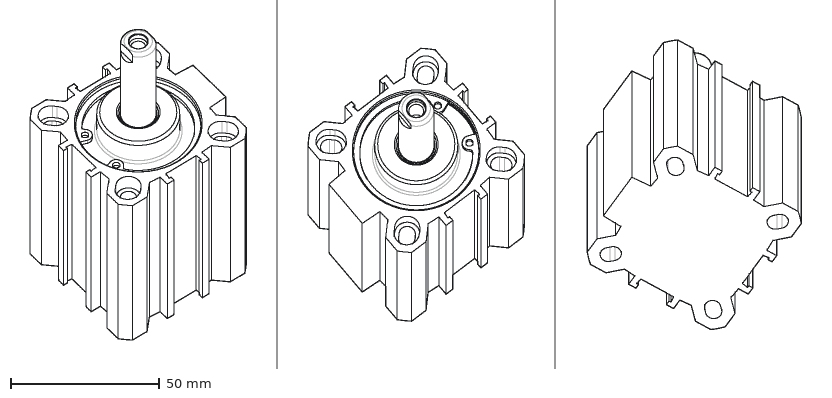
import cadquery as cq
import math

HOUSING_HEIGHT = 69.5
COVER_HEIGHT = 75.5
ROD_HEIGHT = 112.0

HALF_WIDTH = 55.0 / 2
WALL_OFFSET = 23.0
FLOOR_OFFSET = 23.3
EAR_CORNER_RADIUS = 36.5
EAR_FLAT_END = 17.8
BLOCK_ROOT_HALF_WIDTH = 9.4
BLOCK_TOP_HALF_WIDTH = 9.0
BLOCK_TOP = 58.0 - HALF_WIDTH

RAIL_OUTER = 9.0
RAIL_NECK = 6.8
RAIL_ROOT = 6.5
RAIL_LIP = 6.0
RAIL_TIP = 27.2
RAIL_LIP_START = 25.5

SLOT_CENTER = 20.4
SLOT_SPACING = 1.7
SLOT_DIAMETER = 5.5
COUNTERBORE_DIAMETER = 8.5
COUNTERBORE_DEPTH = 5.9

POCKET_DIAMETER = 42.2
POCKET_RIM_DIAMETER = 43.1
POCKET_FLOOR = 56.0

PLATE_DIAMETER = 41.7
PLATE_TOP = 65.9
BOSS_DIAMETER = 28.0
BOSS_CHAMFER = 1.0
BOSS_ROOT_FILLET = 0.8
ROD_RECESS_DIAMETER = 13.7
ROD_RECESS_DEPTH = 0.8
ROD_RECESS_MOUTH_DIAMETER = 14.8
ROD_RECESS_MOUTH_DEPTH = 0.3
ROD_LEAD_IN_DIAMETER = 12.5

RING_THICKNESS = 1.6
RING_OUTER_DIAMETER = 44.7
RING_INNER_DIAMETER = 38.1
LUG_DIAMETER = 4.9
LUG_HOLE_DIAMETER = 2.5
LUG_X = 8.5
LUG_Y = -16.1
LUG_BLEND_RADIUS = 1.1

ROD_DIAMETER = 12.0
ROD_END_FILLET = 1.2
FLAT_WIDTH = 10.0
FLAT_LENGTH = 4.4
TAP_MOUTH_DIAMETER = 6.3
TAP_MOUTH_DEPTH = 2.1
TAP_MOUTH_CHAMFER = 0.2
TAP_DIAMETER = 4.9
TAP_DEPTH = 13.4
DRILL_POINT_ANGLE = 120.0


def cylinder(diameter, bottom, top):
    return cq.Workplane("XY").workplane(offset=bottom).circle(diameter / 2).extrude(top - bottom)


def cone(bottom_diameter, top_diameter, bottom, height):
    base = cq.Vector(0, 0, bottom)
    return cq.Workplane(cq.Solid.makeCone(bottom_diameter / 2, top_diameter / 2, height, base))


def prism(points):
    return cq.Workplane("XY").polyline(points).close().extrude(HOUSING_HEIGHT)


def make_ear_notch():
    """Space on the -Y side between two ears, with a flat floor and a sloped wall at each end."""
    wall_end = EAR_FLAT_END - (HALF_WIDTH - WALL_OFFSET)
    return prism([
        (-EAR_FLAT_END, -HALF_WIDTH),
        (EAR_FLAT_END, -HALF_WIDTH),
        (wall_end, -WALL_OFFSET),
        (RAIL_OUTER, -FLOOR_OFFSET),
        (-RAIL_OUTER, -FLOOR_OFFSET),
        (-wall_end, -WALL_OFFSET),
    ])


def make_rail():
    """Hooked rail on the -Y side, on its +X half."""
    return prism([
        (RAIL_OUTER, -FLOOR_OFFSET),
        (RAIL_OUTER, -RAIL_TIP),
        (RAIL_LIP, -RAIL_TIP),
        (RAIL_LIP, -RAIL_LIP_START),
        (RAIL_NECK, -RAIL_LIP_START),
        (RAIL_ROOT, -FLOOR_OFFSET),
    ])


def make_block():
    """Tapered block on the +Y side, rooted in the wall."""
    return prism([
        (-BLOCK_ROOT_HALF_WIDTH, WALL_OFFSET),
        (BLOCK_ROOT_HALF_WIDTH, WALL_OFFSET),
        (BLOCK_TOP_HALF_WIDTH, BLOCK_TOP),
        (-BLOCK_TOP_HALF_WIDTH, BLOCK_TOP),
    ])


def make_profile():
    corner_disc = cylinder(2 * EAR_CORNER_RADIUS, 0, HOUSING_HEIGHT)
    square = cq.Workplane("XY").rect(2 * HALF_WIDTH, 2 * HALF_WIDTH).extrude(HOUSING_HEIGHT)
    profile = square.intersect(corner_disc)
    for side in range(4):
        profile = profile.cut(make_ear_notch().rotate((0, 0, 0), (0, 0, 1), 90 * side))
    rail = make_rail()
    rail_pair = rail.union(rail.mirror("YZ"))
    for angle in (-90, 0, 90):
        profile = profile.union(rail_pair.rotate((0, 0, 0), (0, 0, 1), angle))
    return profile.union(make_block())


def make_mounting_slot(side_x, side_y):
    """Counterbored slot that points at the housing axis."""
    angle = math.degrees(math.atan2(side_y, side_x))
    top = (
        cq.Workplane("XY")
        .workplane(offset=HOUSING_HEIGHT)
        .center(side_x * SLOT_CENTER, side_y * SLOT_CENTER)
    )
    through = top.slot2D(SLOT_DIAMETER + SLOT_SPACING, SLOT_DIAMETER, angle).extrude(-HOUSING_HEIGHT)
    counterbore = top.slot2D(
        COUNTERBORE_DIAMETER + SLOT_SPACING, COUNTERBORE_DIAMETER, angle
    ).extrude(-COUNTERBORE_DEPTH)
    return through.union(counterbore)


def make_housing():
    housing = make_profile()
    for side_x in (-1, 1):
        for side_y in (-1, 1):
            housing = housing.cut(make_mounting_slot(side_x, side_y))
    pocket = cylinder(POCKET_DIAMETER, POCKET_FLOOR, HOUSING_HEIGHT)
    rim_depth = (POCKET_RIM_DIAMETER - POCKET_DIAMETER) / 2
    rim = cone(POCKET_DIAMETER, POCKET_RIM_DIAMETER, HOUSING_HEIGHT - rim_depth, rim_depth)
    ring_groove = cylinder(RING_OUTER_DIAMETER, PLATE_TOP, PLATE_TOP + RING_THICKNESS)
    return housing.cut(pocket).cut(rim).cut(ring_groove)


def make_rod_passage():
    """Bore for the rod, with a lead-in chamfer at the floor of a shallow recess that has a flared mouth."""
    recess_floor = COVER_HEIGHT - ROD_RECESS_DEPTH
    lead_in = (ROD_LEAD_IN_DIAMETER - ROD_DIAMETER) / 2
    passage = cylinder(ROD_DIAMETER, POCKET_FLOOR, COVER_HEIGHT)
    passage = passage.union(cone(ROD_DIAMETER, ROD_LEAD_IN_DIAMETER, recess_floor - lead_in, lead_in))
    passage = passage.union(cylinder(ROD_RECESS_DIAMETER, recess_floor, COVER_HEIGHT))
    mouth = cone(
        ROD_RECESS_DIAMETER,
        ROD_RECESS_MOUTH_DIAMETER,
        COVER_HEIGHT - ROD_RECESS_MOUTH_DEPTH,
        ROD_RECESS_MOUTH_DEPTH,
    )
    return passage.union(mouth)


def make_cover():
    """Turned cover: a plate in the pocket and a chamfered boss with a filleted root."""
    plate_radius = PLATE_DIAMETER / 2
    boss_radius = BOSS_DIAMETER / 2
    fillet_center_x = boss_radius + BOSS_ROOT_FILLET
    fillet_center_z = PLATE_TOP + BOSS_ROOT_FILLET
    fillet_middle = BOSS_ROOT_FILLET * math.cos(math.pi / 4)
    cover = (
        cq.Workplane("XZ")
        .moveTo(0, POCKET_FLOOR)
        .lineTo(plate_radius, POCKET_FLOOR)
        .lineTo(plate_radius, PLATE_TOP)
        .lineTo(fillet_center_x, PLATE_TOP)
        .threePointArc(
            (fillet_center_x - fillet_middle, fillet_center_z - fillet_middle),
            (boss_radius, fillet_center_z),
        )
        .lineTo(boss_radius, COVER_HEIGHT - BOSS_CHAMFER)
        .lineTo(boss_radius - BOSS_CHAMFER, COVER_HEIGHT)
        .lineTo(0, COVER_HEIGHT)
        .close()
        .revolve(360, (0, 0), (0, 1))
    )
    return cover.cut(make_rod_passage())


def make_ring():
    """Open ring with a drilled lug at each side of the gap and radial end faces."""
    ring_top = PLATE_TOP + RING_THICKNESS
    inner_radius = RING_INNER_DIAMETER / 2
    lug_radius = LUG_DIAMETER / 2
    lug_distance = math.hypot(LUG_X, LUG_Y)
    lug_points = [(-LUG_X, LUG_Y), (LUG_X, LUG_Y)]

    lug_angle = math.atan2(LUG_X, -LUG_Y)
    gap_angle = lug_angle - math.asin(lug_radius / lug_distance)
    corner_angle = lug_angle + math.acos(
        (inner_radius**2 + lug_distance**2 - lug_radius**2) / (2 * inner_radius * lug_distance)
    )
    corner_x = inner_radius * math.sin(corner_angle)
    corner_y = -inner_radius * math.cos(corner_angle)

    plane = cq.Workplane("XY").workplane(offset=PLATE_TOP)
    ring = cylinder(RING_OUTER_DIAMETER, PLATE_TOP, ring_top)
    ring = ring.cut(cylinder(RING_INNER_DIAMETER, PLATE_TOP, ring_top))
    ring = ring.union(plane.pushPoints(lug_points).circle(lug_radius).extrude(RING_THICKNESS))

    tangent_distance = math.sqrt(lug_distance**2 - lug_radius**2)
    web_radius = inner_radius + lug_radius
    for side in (-1, 1):
        web = plane.polyline([
            (side * LUG_X, LUG_Y),
            (side * tangent_distance * math.sin(gap_angle), -tangent_distance * math.cos(gap_angle)),
            (side * web_radius * math.sin(gap_angle), -web_radius * math.cos(gap_angle)),
            (side * web_radius * math.sin(lug_angle), -web_radius * math.cos(lug_angle)),
        ]).close().extrude(RING_THICKNESS)
        ring = ring.union(web)

    gap_depth = RING_OUTER_DIAMETER
    gap_half_width = gap_depth * math.tan(gap_angle)
    gap_points = [(0, 0), (-gap_half_width, -gap_depth), (gap_half_width, -gap_depth)]
    ring = ring.cut(plane.polyline(gap_points).close().extrude(RING_THICKNESS))

    for side in (-1, 1):
        blend_edge = cq.selectors.NearestToPointSelector(
            (side * corner_x, corner_y, PLATE_TOP + RING_THICKNESS / 2)
        )
        ring = ring.edges("|Z").edges(blend_edge).fillet(LUG_BLEND_RADIUS)
    holes = plane.pushPoints(lug_points).circle(LUG_HOLE_DIAMETER / 2).extrude(RING_THICKNESS)
    return ring.cut(holes)


def make_rod():
    """Rod with a rounded end, two wrench flats and a stepped, countersunk tapped hole."""
    rod = cylinder(ROD_DIAMETER, POCKET_FLOOR, ROD_HEIGHT).faces(">Z").edges().fillet(ROD_END_FILLET)
    flat_bottom = ROD_HEIGHT - FLAT_LENGTH
    runout = (ROD_DIAMETER - FLAT_WIDTH) / 2
    flat_cut = (
        cq.Workplane("YZ")
        .moveTo(FLAT_WIDTH / 2, ROD_HEIGHT)
        .lineTo(FLAT_WIDTH / 2, flat_bottom)
        .lineTo(FLAT_WIDTH / 2 + runout, flat_bottom - runout)
        .lineTo(FLAT_WIDTH / 2 + runout, ROD_HEIGHT)
        .close()
        .extrude(ROD_DIAMETER / 2, both=True)
    )
    rod = rod.cut(flat_cut).cut(flat_cut.mirror("XZ"))

    step = (TAP_MOUTH_DIAMETER - TAP_DIAMETER) / 2
    mouth_bottom = ROD_HEIGHT - TAP_MOUTH_DEPTH
    tap_bottom = ROD_HEIGHT - TAP_DEPTH
    point_height = TAP_DIAMETER / 2 / math.tan(math.radians(DRILL_POINT_ANGLE / 2))
    rod = rod.cut(cylinder(TAP_MOUTH_DIAMETER, mouth_bottom, ROD_HEIGHT))
    rod = rod.cut(
        cone(
            TAP_MOUTH_DIAMETER,
            TAP_MOUTH_DIAMETER + 2 * TAP_MOUTH_CHAMFER,
            ROD_HEIGHT - TAP_MOUTH_CHAMFER,
            TAP_MOUTH_CHAMFER,
        )
    )
    rod = rod.cut(cone(TAP_DIAMETER, TAP_MOUTH_DIAMETER, mouth_bottom - step, step))
    rod = rod.cut(cylinder(TAP_DIAMETER, tap_bottom, mouth_bottom))
    return rod.cut(cone(0, TAP_DIAMETER, tap_bottom - point_height, point_height))


housing = make_housing()
cover = make_cover()
ring = make_ring()
rod = make_rod()
result = cq.Compound.makeCompound([housing.val(), cover.val(), ring.val(), rod.val()])